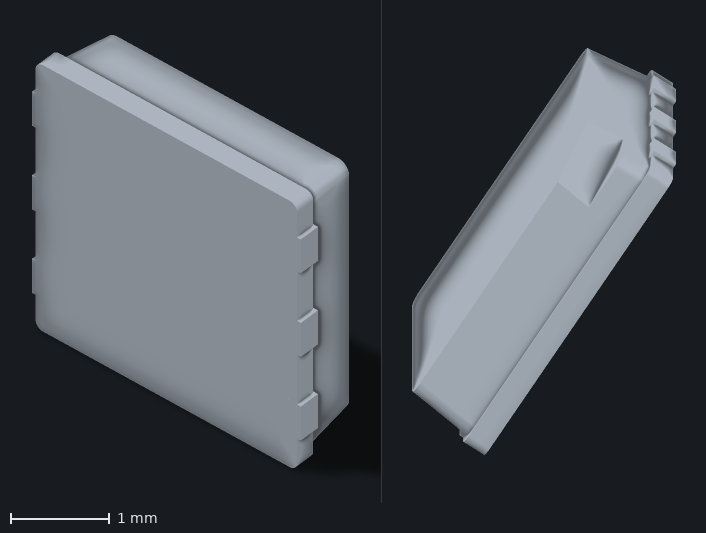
import cadquery as cq


overall_width = 3.6
overall_depth = 0.95

plate_size = 3.5
plate_thickness = 0.252
plate_corner_radius = 0.1

housing_foot_size = 3.395
housing_top_size = 3.255
housing_corner_radius = 0.15
marker_leg = 0.56
marker_depth = 0.405

lead_thickness = 0.265
row_pitch = 1.098
lead_half_width = 0.225
lead_end = overall_width / 2

upper_notch_depth = 0.095
upper_notch_half_width = 0.225
upper_notch_tip_half_width = 0.04
lower_notch_depth = 0.108
lower_notch_half_width = 0.19
lower_notch_tip_half_width = 0.03
notch_tip_rounding = 0.007
left_notch_centers = (-1.205, -0.59)
right_upper_notch_center = 0.8
right_lower_notch_center = 1.0


def front_plane(y):
    """Sketch plane at depth y with local axes +X and +Z; positive extrusion goes toward -Y."""
    return cq.Workplane("XZ", origin=(0, y, 0))


def lead_sketch(row):
    """Sketch on the terminal face, centred on a lead row (+1 upper, 0 middle, -1 lower)."""
    return cq.Workplane("XZ", origin=(0, 0, row * row_pitch))


def extrude_lead(sketch):
    return sketch.close().extrude(-lead_thickness)


def add_notch(sketch, center, edge, depth, half_width, tip_half_width):
    """Draw a V notch with a rounded tip, left to right, from the height edge to edge + depth."""
    tip = edge + depth
    shoulder = tip - notch_tip_rounding if depth > 0 else tip + notch_tip_rounding
    return (
        sketch.lineTo(center - half_width, edge)
        .lineTo(center - tip_half_width, shoulder)
        .threePointArc((center, tip), (center + tip_half_width, shoulder))
        .lineTo(center + half_width, edge)
    )


def make_upper_left_lead():
    inner_end = -0.15
    inner_bottom = -0.245
    belly = -0.353
    sketch = lead_sketch(1).moveTo(-lead_end, lead_half_width)
    for center in left_notch_centers:
        sketch = add_notch(
            sketch,
            center,
            lead_half_width,
            -upper_notch_depth,
            upper_notch_half_width,
            upper_notch_tip_half_width,
        )
    sketch = (
        sketch.lineTo(inner_end, lead_half_width)
        .lineTo(inner_end, inner_bottom)
        .lineTo(-0.24, inner_bottom)
        .threePointArc((-0.365, -0.275), (-0.475, belly))
        .lineTo(-1.32, belly)
        .lineTo(-1.395, -lead_half_width)
        .lineTo(-lead_end, -lead_half_width)
    )
    return extrude_lead(sketch)


def make_upper_right_lead():
    inner_end = 0.395
    inner_bottom = -0.263
    waist = -0.155
    sketch = lead_sketch(1).moveTo(inner_end, lead_half_width)
    sketch = add_notch(
        sketch,
        right_upper_notch_center,
        lead_half_width,
        -upper_notch_depth,
        upper_notch_half_width,
        upper_notch_tip_half_width,
    )
    sketch = (
        sketch.lineTo(lead_end, lead_half_width)
        .lineTo(lead_end, -lead_half_width)
        .lineTo(1.535, -lead_half_width)
        .lineTo(1.48, waist)
        .lineTo(0.755, waist)
        .lineTo(0.52, inner_bottom)
        .lineTo(inner_end, inner_bottom)
    )
    return extrude_lead(sketch)


def make_middle_left_lead():
    inner_end = -0.61
    top = 0.342
    bottom = -0.367
    sketch = (
        lead_sketch(0)
        .moveTo(-lead_end, lead_half_width)
        .lineTo(-1.505, lead_half_width)
        .lineTo(-1.4, top)
        .lineTo(inner_end, top)
        .lineTo(inner_end, -0.06)
        .threePointArc((-0.73, -0.198), (-0.78, bottom))
        .lineTo(-1.37, bottom)
        .lineTo(-1.505, -lead_half_width)
        .lineTo(-lead_end, -lead_half_width)
    )
    return extrude_lead(sketch)


def make_middle_right_lead():
    pad_outer_end = 1.4
    pad_top = 0.5
    inner_end = -0.15
    inner_top = 0.315
    toe_end = -0.18
    toe_bottom = -0.445
    bottom = -0.288
    sketch = (
        lead_sketch(0)
        .moveTo(lead_end, lead_half_width)
        .lineTo(1.498, lead_half_width)
        .lineTo(pad_outer_end, 0.325)
        .lineTo(pad_outer_end, pad_top)
        .lineTo(0.84, pad_top)
        .lineTo(0.465, inner_top)
        .lineTo(-0.1, inner_top)
        .lineTo(inner_end, 0.263)
        .lineTo(inner_end, -0.252)
        .lineTo(toe_end, -0.33)
        .lineTo(toe_end, toe_bottom)
        .lineTo(0.205, toe_bottom)
        .lineTo(0.46, bottom)
        .lineTo(1.455, bottom)
        .lineTo(1.505, -lead_half_width)
        .lineTo(lead_end, -lead_half_width)
    )
    return extrude_lead(sketch)


def make_lower_left_lead():
    inner_end = 0.155
    raised_top = 0.235
    sketch = lead_sketch(-1).moveTo(-lead_end, -lead_half_width)
    for center in left_notch_centers:
        sketch = add_notch(
            sketch,
            center,
            -lead_half_width,
            lower_notch_depth,
            lower_notch_half_width,
            lower_notch_tip_half_width,
        )
    sketch = (
        sketch.lineTo(inner_end, -lead_half_width)
        .lineTo(inner_end, raised_top)
        .lineTo(-1.44, raised_top)
        .lineTo(-1.458, lead_half_width)
        .lineTo(-lead_end, lead_half_width)
    )
    return extrude_lead(sketch)


def make_lower_right_lead():
    inner_end = 0.702
    pad_outer_end = 1.4
    pad_top = 0.34
    center = right_lower_notch_center
    foot_half_width = 0.238
    foot_low_half_width = 0.18
    foot_low = -0.23
    flank_foot_half_width = 0.115
    flank_foot = -0.2
    flank_tip_half_width = 0.035
    flank_tip = -0.125
    tip = -0.11
    sketch = (
        lead_sketch(-1)
        .moveTo(inner_end, -lead_half_width)
        .lineTo(center - foot_half_width, -lead_half_width)
        .threePointArc((center - foot_low_half_width, foot_low), (center - flank_foot_half_width, flank_foot))
        .lineTo(center - flank_tip_half_width, flank_tip)
        .threePointArc((center, tip), (center + flank_tip_half_width, flank_tip))
        .lineTo(center + flank_foot_half_width, flank_foot)
        .threePointArc((center + foot_low_half_width, foot_low), (center + foot_half_width, -lead_half_width))
        .lineTo(lead_end, -lead_half_width)
        .lineTo(lead_end, lead_half_width)
        .lineTo(pad_outer_end, lead_half_width)
        .lineTo(pad_outer_end, pad_top)
        .lineTo(inner_end, pad_top)
    )
    return extrude_lead(sketch)


def make_plate(leads):
    """Rounded square plate with a through opening for every lead."""
    plate = (
        front_plane(0)
        .rect(plate_size, plate_size)
        .extrude(-plate_thickness)
        .edges("|Y")
        .fillet(plate_corner_radius)
    )
    for lead in leads:
        plate = plate.cut(lead)
    return plate


def make_corner_marker():
    """Triangular prism removed from the -X, -Z corner at the housing top."""
    corner = -housing_top_size / 2
    overrun = housing_foot_size - housing_top_size
    near = corner - overrun
    far = corner + marker_leg + overrun
    return (
        front_plane(overall_depth)
        .polyline([(near, near), (far, near), (near, far)])
        .close()
        .extrude(marker_depth)
    )


def make_housing(leads):
    """Tapered block on the plate, with shallow recesses where the leads stand above the plate."""
    housing = (
        front_plane(plate_thickness)
        .rect(housing_foot_size, housing_foot_size)
        .workplane(offset=plate_thickness - overall_depth)
        .rect(housing_top_size, housing_top_size)
        .loft(ruled=True)
        .edges("not (#Y)")
        .fillet(housing_corner_radius)
        .cut(make_corner_marker())
    )
    for lead in leads:
        housing = housing.cut(lead)
    return housing


leads = [
    make_upper_left_lead(),
    make_upper_right_lead(),
    make_middle_left_lead(),
    make_middle_right_lead(),
    make_lower_left_lead(),
    make_lower_right_lead(),
]
plate = make_plate(leads)
housing = make_housing(leads)

bodies = [plate, housing, *leads]
result = cq.Compound.makeCompound([body.solids().val() for body in bodies])